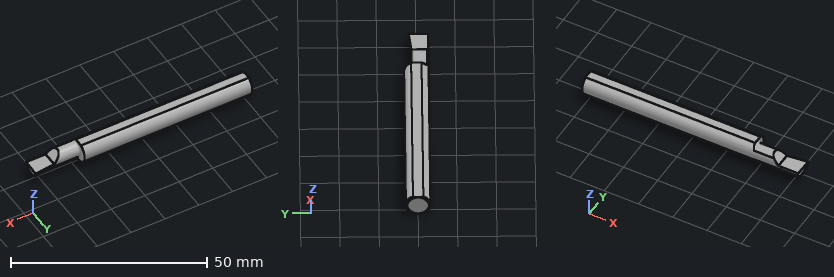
import cadquery as cq
import math


shank_radius = 3.175
shank_length = 49.75
flat_height = 2.885
chamfer_length = 0.22
chamfer_depth = 0.38

neck_radius = 2.3
neck_offset = 1.08
root_fillet = 0.6

total_length = 63.5
rake_start = 57.6
ramp_angle = 45.0
tip_reach = 1.88
end_relief = 5.0
end_lead = 2.0

margin = 2 * shank_radius


def shank_cylinder(length):
    """Round bar along X with its chamfered back end at X = 0."""
    profile = (
        cq.Workplane("XY")
        .moveTo(0, 0)
        .lineTo(0, shank_radius - chamfer_depth)
        .lineTo(chamfer_length, shank_radius)
        .lineTo(length, shank_radius)
        .lineTo(length, 0)
        .close()
    )
    return profile.revolve(360, (0, 0, 0), (1, 0, 0))


def flat_cut():
    """Space above the flat that runs along the top of the shank."""
    return cq.Workplane("XY", origin=(0, 0, flat_height)).box(
        2 * total_length, 2 * margin, margin, centered=(True, True, False)
    )


def neck():
    """Eccentric round neck, flared by a fillet where it leaves the shank."""
    flare_radius = neck_radius + root_fillet
    flare_end = shank_length + root_fillet
    arc_reach = root_fillet * (1 - math.sqrt(0.5))
    profile = (
        cq.Workplane("XZ")
        .moveTo(shank_length, 0)
        .lineTo(shank_length, flare_radius)
        .threePointArc(
            (shank_length + arc_reach, neck_radius + arc_reach),
            (flare_end, neck_radius),
        )
        .lineTo(rake_start, neck_radius)
        .lineTo(rake_start, 0)
        .close()
    )
    return profile.revolve(360, (0, 0, 0), (1, 0, 0)).translate((0, -neck_offset, 0))


def head_section(x, reach):
    """Lower half section at x: round towards -Y, elliptical out to reach towards +Y."""
    diagonal = neck_radius * math.sqrt(0.5)
    return (
        cq.Workplane("YZ", origin=(x, -neck_offset, 0))
        .moveTo(-neck_radius, 0)
        .threePointArc((-diagonal, -diagonal), (0, -neck_radius))
        .ellipseArc(reach, neck_radius, 270, 360, startAtCurrent=True)
        .close()
        .val()
    )


def head():
    """Half-depth body that widens towards +Y from the neck out to the cutting tip."""
    sections = [
        head_section(rake_start, neck_radius),
        head_section(total_length, tip_reach + neck_offset),
    ]
    return cq.Workplane(cq.Solid.makeLoft(sections, True))


def rake_cut():
    """Space above the rake face, closed towards the shank by the ramp."""
    ramp_run = margin / math.tan(math.radians(ramp_angle))
    return (
        cq.Workplane("XZ")
        .moveTo(rake_start, 0)
        .lineTo(total_length + margin, 0)
        .lineTo(total_length + margin, margin)
        .lineTo(rake_start - ramp_run, margin)
        .close()
        .extrude(margin, both=True)
    )


def end_cut():
    """Space beyond the end face, which leans back from the tip in both -Y and -Z."""
    block = cq.Workplane("XY").box(margin, 4 * margin, 4 * margin, centered=(False, True, True))
    return (
        block.rotate((0, 0, 0), (0, 1, 0), end_relief)
        .rotate((0, 0, 0), (0, 0, 1), -end_lead)
        .translate((total_length, tip_reach, 0))
    )


front = neck().union(head()).intersect(shank_cylinder(total_length))
bar = shank_cylinder(shank_length).union(front)
result = bar.cut(flat_cut()).cut(rake_cut()).cut(end_cut())